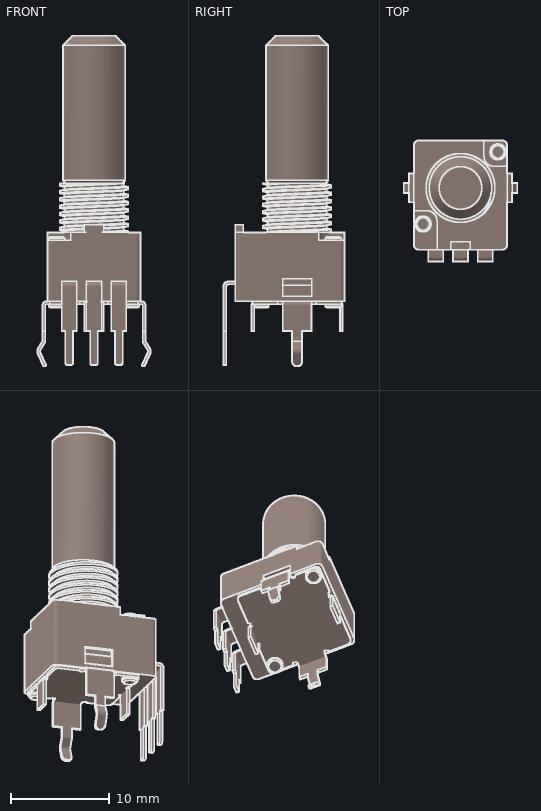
import cadquery as cq
import math


housing_width = 9.5
housing_back = 4.85
housing_front = -6.3
housing_height = 7.0
housing_corner_radius = 0.5
side = housing_width / 2

total_height = 33.65
shaft_diameter = 6.35
shaft_top = 27.0
shaft_tip_chamfer = 1
shaft_base_chamfer = 0.27
lowest_z = shaft_top - total_height

bushing_height = 5.0
bushing_top = housing_height + bushing_height
thread_diameter = 7.0
thread_root_diameter = 6.05
thread_turns = 6.7
thread_pitch = bushing_height / thread_turns
thread_crest_width = 0.25
thread_foot_width = 0.5
thread_foot_depth = 0.1

pocket_depth = 0.8
pocket_width = 2.35
front_pocket_length = 3.97
back_pocket_length = 2.65
pocket_radius = 1
rivet_diameter = 1.6
rivet_height = 0.37
rivet_edge = 0.17
rivet_x = 3.8
rivet_y = 3.65

key_width = 2.0
key_length = 0.85
key_height = 0.8
key_corner_radius = 0.17

window_width = 2.95
window_bottom = 0.5
window_top = 2.3
latch_top = 1.6
latch_setback = 0.2
window_depth = 0.4

sheet = 0.3
shoulder_z = -3.03
bend_radius = 0.27
plate_z = -sheet / 2

plate_half = 4.5
plate_corner_radius = 0.4
relief_radius = 0.25

clip_outer = 5.25
clip_width = 2.95
clip_tip_width = 1.05
clip_knee_z = -4.1
clip_elbow_start_reach = 5.55
clip_elbow_start_z = -4.85
clip_elbow_end_reach = 5.6
clip_elbow_end_z = -5.28
clip_end_reach = 4.98
clip_end_z = -6.6

leg_outer = 4.65
leg_width = 2.0

terminal_spacing = 2.52
terminal_width = 1.55
terminal_tip_width = 0.8
terminal_tip_corner = 0.25
terminal_top = 2.02
terminal_outer_y = -7.5
terminal_bend_radius = 0.37
terminal_bottom = -6.5


def box(x0, x1, y0, y1, z0, z1):
    """Box between opposite corner coordinates."""
    return cq.Workplane("XY").box(x1 - x0, y1 - y0, z1 - z0, centered=False).translate((x0, y0, z0))


def corner_pocket(length):
    """Pocket cutter centred on the housing corner, so one quarter of it cuts the housing."""
    return (
        box(-pocket_width, pocket_width, -length, length, 0, pocket_depth)
        .edges("|Z").fillet(pocket_radius)
    )


def make_housing():
    """Rounded block with two corner pockets on top and a stepped latch window in each side."""
    body = (
        box(-side, side, housing_front, housing_back, 0, housing_height)
        .edges("|Z").fillet(housing_corner_radius)
    )
    pocket_floor = housing_height - pocket_depth
    body = body.cut(corner_pocket(front_pocket_length).translate((-side, housing_front, pocket_floor)))
    body = body.cut(corner_pocket(back_pocket_length).translate((side, housing_back, pocket_floor)))
    half = window_width / 2
    window = box(side - window_depth, side, -half, half, window_bottom, window_top)
    latch = box(side - window_depth, side - latch_setback, -half, half, window_bottom, latch_top)
    opening = window.cut(latch)
    return body.cut(opening).cut(opening.mirror("YZ"))


def make_key():
    return (
        box(-key_width / 2, key_width / 2, housing_front, housing_front + key_length,
            housing_height, housing_height + key_height)
        .edges("|Z").fillet(key_corner_radius)
    )


def make_shaft():
    radius = shaft_diameter / 2
    length = shaft_top - bushing_top
    return (
        cq.Workplane("XY", origin=(0, 0, bushing_top)).circle(radius).extrude(length)
        .faces(">Z").chamfer(shaft_tip_chamfer)
        .faces("<Z").chamfer(shaft_base_chamfer)
    )


def make_bushing():
    """Cylinder with a right-handed helical thread, cut off flat at the top."""
    root = thread_root_diameter / 2
    crest = thread_diameter / 2
    foot = root - thread_foot_depth
    start_z = housing_height - thread_pitch
    helix_height = (math.ceil((bushing_top - start_z) / thread_pitch) + 1) * thread_pitch
    helix = cq.Workplane(cq.Wire.makeHelix(thread_pitch, helix_height, foot))
    thread = (
        cq.Workplane("XZ")
        .polyline([
            (foot, -thread_foot_width / 2),
            (crest, -thread_crest_width / 2),
            (crest, thread_crest_width / 2),
            (foot, thread_foot_width / 2),
        ])
        .close()
        .sweep(helix, isFrenet=True)
        .translate((0, 0, start_z))
    )
    core_base = cq.Workplane("XY", origin=(0, 0, start_z - thread_pitch))
    core = core_base.circle(root).extrude(helix_height + 2 * thread_pitch)
    envelope = core_base.circle(2 * crest).extrude(bushing_top - start_z + thread_pitch)
    return core.union(thread).intersect(envelope)


def make_rivet_head(x, y, z, direction):
    """Rivet head on the level z, standing up (direction 1) or hanging down (direction -1)."""
    head = cq.Workplane("XY").circle(rivet_diameter / 2).extrude(rivet_height * direction)
    head = head.faces(">Z" if direction > 0 else "<Z").chamfer(rivet_edge)
    return head.translate((x, y, z))


def make_plate():
    """Base plate with round relief notches beside every bent tab."""
    plate = (
        box(-plate_half, plate_half, -plate_half, plate_half, -sheet, 0)
        .edges("|Z").fillet(plate_corner_radius)
    )
    clip_notch = clip_width / 2 + relief_radius
    leg_notch = leg_width / 2 + relief_radius
    notches = [(a * plate_half, b * clip_notch) for a in (-1, 1) for b in (-1, 1)]
    notches += [(a * leg_notch, b * plate_half) for a in (-1, 1) for b in (-1, 1)]
    return plate.cut(cq.Workplane("XY").pushPoints(notches).circle(relief_radius).extrude(-sheet))


def bent_path(start_reach, outer_reach, level, radius):
    """Centre line in XZ: out along +X at the given level, then a quarter bend to straight down."""
    reach = outer_reach - sheet / 2
    diagonal = radius * math.sqrt(0.5)
    return (
        cq.Workplane("XZ")
        .moveTo(start_reach, level)
        .lineTo(reach - radius, level)
        .threePointArc((reach - radius + diagonal, level - radius + diagonal), (reach, level - radius))
    )


def sweep_sheet(path, start_reach, level, width):
    """Strip of sheet metal of the given width along a bent path."""
    profile = cq.Workplane("YZ", origin=(start_reach, 0, level)).rect(width, sheet)
    return profile.sweep(path, transition="round")


def make_clip():
    """Clip on the +X side: a wide blade, then a narrow tongue kinked outward and back in."""
    start = plate_half - sheet
    tongue_reach = clip_outer - sheet / 2
    blade_path = bent_path(start, clip_outer, plate_z, bend_radius).lineTo(tongue_reach, shoulder_z)
    blade = sweep_sheet(blade_path, start, plate_z, clip_width)
    tongue_path = (
        cq.Workplane("XZ").moveTo(tongue_reach, shoulder_z)
        .lineTo(tongue_reach, clip_knee_z)
        .lineTo(clip_elbow_start_reach, clip_elbow_start_z)
        .tangentArcPoint((clip_elbow_end_reach, clip_elbow_end_z), relative=False)
        .lineTo(clip_end_reach, clip_end_z)
    )
    tongue = (
        cq.Workplane("XY", origin=(tongue_reach, 0, shoulder_z)).rect(sheet, clip_tip_width)
        .sweep(tongue_path, transition="round")
    )
    tip_radius = clip_tip_width / 2
    tongue_outline = (
        cq.Workplane("YZ").moveTo(-tip_radius, 0)
        .lineTo(-tip_radius, lowest_z + tip_radius)
        .threePointArc((0, lowest_z), (tip_radius, lowest_z + tip_radius))
        .lineTo(tip_radius, 0).close()
        .extrude(2 * clip_outer)
    )
    return blade.union(tongue.intersect(tongue_outline))


def make_leg():
    """Leg on the +X side; it is turned to the front and back where it is used."""
    start = plate_half - 2 * sheet
    path = bent_path(start, leg_outer, plate_z, bend_radius).lineTo(leg_outer - sheet / 2, shoulder_z)
    return sweep_sheet(path, start, plate_z, leg_width)


def make_terminal():
    """Terminal on the +X side; it is turned to the front where it is used."""
    start = -housing_front - sheet
    outer = -terminal_outer_y
    level = terminal_top - sheet / 2
    path = bent_path(start, outer, level, terminal_bend_radius).lineTo(outer - sheet / 2, shoulder_z)
    blade = sweep_sheet(path, start, level, terminal_width)
    half_tip = terminal_tip_width / 2
    pin = (
        box(outer - sheet, outer, -half_tip, half_tip, terminal_bottom, shoulder_z)
        .edges("|X and <Z").fillet(terminal_tip_corner)
    )
    return blade.union(pin)


result = make_housing().union(make_key()).union(make_bushing()).union(make_shaft()).union(make_plate())

for sign in (-1, 1):
    rivet_at = (sign * rivet_x, sign * rivet_y)
    result = result.union(make_rivet_head(*rivet_at, housing_height - pocket_depth, 1))
    result = result.union(make_rivet_head(*rivet_at, -sheet, -1))

clip = make_clip()
result = result.union(clip).union(clip.mirror("YZ"))

leg = make_leg()
for angle in (-90, 90):
    result = result.union(leg.rotate((0, 0, 0), (0, 0, 1), angle))

terminal = make_terminal().rotate((0, 0, 0), (0, 0, 1), -90)
for place in (-1, 0, 1):
    result = result.union(terminal.translate((place * terminal_spacing, 0, 0)))